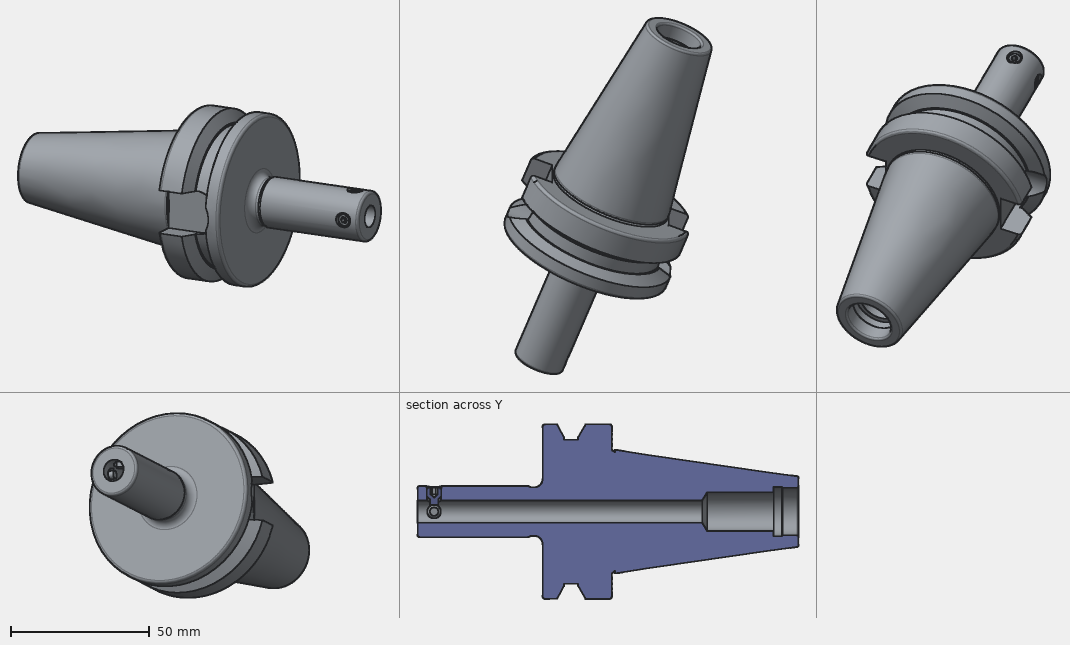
import cadquery as cq
import math

total_length = 137.4

taper_ratio = 7 / 24
taper_end_x = 65.4
taper_end_radius = 22.3
taper_start_radius = taper_end_radius - taper_end_x * taper_ratio / 2
taper_edge_radius = 0.8
undercut_start_x = 66.2
undercut_floor_radius = 21.5

flange_radius = 63.0 / 2
flange_front_x = 67.2
flange_back_x = 92.3
flange_edge_radius = 1.1
groove_mouth_front_x = 76.8
groove_mouth_back_x = 87.0
groove_floor_front_x = 79.5
groove_floor_back_x = 84.5
groove_side_end_radius = 26.8
groove_floor_radius = 26.1

slot_width = 16.1
slot_end_x = 88.2
slot_floor_y = 22.5

neck_radius = 8.8
neck_fillet_end_x = 95.2
neck_fillet_radius = 2.9
neck_end_x = 96.5
shank_radius = 18.5 / 2
shank_start_x = 97.4
shank_edge_radius = 1.0

mouth_radius = 18.5 / 2
counterbore_radius = 8.5
counterbore_depth = 9.0
bore_undercut_radius = 8.8
bore_undercut_start_x = 5.8
draw_bar_bore_radius = 13.9 / 2
draw_bar_bore_depth = 33.0
tool_bore_radius = 4.0
drill_point_half_angle = 59

screw_x = 131.4
screw_radius = 2.5
screw_top = 8.7
screw_top_chamfer = 0.35
screw_tip = 2.3
screw_tip_radius = 1.5
screw_tip_length = 2.0
socket_diameter = 2.5
socket_depth = 2.5
hole_mouth_radius = 2.9
screw_directions = [cq.Vector(0, 0, 1), cq.Vector(0, -1, 0)]


def revolve_about_x(outline):
    """Close a half outline drawn in the XY plane and turn it about the X axis."""
    return outline.close().revolve(360, (0, 0, 0), (1, 0, 0))


def along_screw(shape, direction):
    """Turn a shape from the Z axis to a screw direction and move it to the screw position."""
    if direction.z == 0:
        shape = shape.rotate((0, 0, 0), (1, 0, 0), -90 * direction.y)
    return shape.translate((screw_x, 0, 0))


def make_outer_form():
    edge_end_radius = taper_start_radius + taper_edge_radius * taper_ratio / 2
    return revolve_about_x(
        cq.Workplane("XY")
        .moveTo(0, 0)
        .lineTo(0, edge_end_radius - taper_edge_radius)
        .radiusArc((taper_edge_radius, edge_end_radius), taper_edge_radius)
        .lineTo(taper_end_x, taper_end_radius)
        .lineTo(undercut_start_x, taper_end_radius)
        .lineTo(undercut_start_x, undercut_floor_radius)
        .lineTo(flange_front_x, taper_end_radius)
        .lineTo(flange_front_x, flange_radius - flange_edge_radius)
        .radiusArc((flange_front_x + flange_edge_radius, flange_radius), flange_edge_radius)
        .lineTo(groove_mouth_front_x, flange_radius)
        .lineTo(groove_floor_front_x, groove_side_end_radius)
        .lineTo(groove_floor_front_x, groove_floor_radius)
        .lineTo(groove_floor_back_x, groove_floor_radius)
        .lineTo(groove_floor_back_x, groove_side_end_radius)
        .lineTo(groove_mouth_back_x, flange_radius)
        .lineTo(flange_back_x - flange_edge_radius, flange_radius)
        .radiusArc((flange_back_x, flange_radius - flange_edge_radius), flange_edge_radius)
        .lineTo(flange_back_x, neck_radius + neck_fillet_radius)
        .radiusArc((neck_fillet_end_x, neck_radius), -neck_fillet_radius)
        .lineTo(neck_end_x, neck_radius)
        .lineTo(shank_start_x, shank_radius)
        .lineTo(total_length - shank_edge_radius, shank_radius)
        .radiusArc((total_length, shank_radius - shank_edge_radius), shank_edge_radius)
        .lineTo(total_length, 0)
    )


def make_bore():
    mouth_edge_radius = mouth_radius - counterbore_radius
    undercut_depth = bore_undercut_radius - counterbore_radius
    point_length = (draw_bar_bore_radius - tool_bore_radius) / math.tan(math.radians(drill_point_half_angle))
    return revolve_about_x(
        cq.Workplane("XY")
        .moveTo(0, 0)
        .lineTo(0, mouth_radius)
        .radiusArc((mouth_edge_radius, counterbore_radius), -mouth_edge_radius)
        .lineTo(bore_undercut_start_x, counterbore_radius)
        .lineTo(bore_undercut_start_x + undercut_depth, bore_undercut_radius)
        .lineTo(counterbore_depth, bore_undercut_radius)
        .lineTo(counterbore_depth, draw_bar_bore_radius)
        .lineTo(draw_bar_bore_depth, draw_bar_bore_radius)
        .lineTo(draw_bar_bore_depth + point_length, tool_bore_radius)
        .lineTo(total_length, tool_bore_radius)
        .lineTo(total_length, 0)
    )


def make_drive_slot(side):
    """Round-ended slot, open towards the taper; side is +1 or -1 along Y."""
    round_centre_x = slot_end_x - slot_width / 2
    depth = flange_radius - slot_floor_y
    straight = cq.Workplane("XY").box(
        round_centre_x - flange_front_x, depth, slot_width, centered=(False, False, True)
    ).translate((flange_front_x, slot_floor_y, 0))
    round_end = (
        cq.Workplane("XZ", origin=(round_centre_x, slot_floor_y, 0))
        .circle(slot_width / 2)
        .extrude(-depth)
    )
    slot = straight.union(round_end)
    return slot if side > 0 else slot.mirror("XZ")


def make_screw_hole(direction):
    """Screw hole from the holder's axis outwards, with a countersunk mouth."""
    mouth_start = screw_top - screw_top_chamfer
    outline = (
        cq.Workplane("XZ")
        .lineTo(screw_radius, 0)
        .lineTo(screw_radius, mouth_start)
        .lineTo(hole_mouth_radius, shank_radius)
        .lineTo(0, shank_radius)
        .close()
    )
    return along_screw(outline.revolve(360, (0, 0, 0), (0, 1, 0)), direction)


def make_holder():
    holder = make_outer_form().cut(make_bore())
    for side in (1, -1):
        holder = holder.cut(make_drive_slot(side))
    for direction in screw_directions:
        holder = holder.cut(make_screw_hole(direction))
    return holder


def make_clamping_screw(direction):
    """Set screw with a chamfered head, a cone-bottomed hexagon socket and a dog point."""
    tip_base = screw_tip + screw_tip_length
    taper_height = screw_radius - screw_tip_radius
    socket_floor = screw_top - socket_depth
    socket_cone_radius = socket_diameter / 2 * math.cos(math.pi / 6)
    screw = (
        cq.Workplane("XZ")
        .moveTo(0, screw_tip)
        .lineTo(screw_tip_radius, screw_tip)
        .lineTo(screw_tip_radius, tip_base)
        .lineTo(screw_radius, tip_base + taper_height)
        .lineTo(screw_radius, screw_top - screw_top_chamfer)
        .lineTo(screw_radius - screw_top_chamfer, screw_top)
        .lineTo(0, screw_top)
        .close()
        .revolve(360, (0, 0, 0), (0, 1, 0))
    )
    socket = (
        cq.Workplane("XY", origin=(0, 0, socket_floor))
        .polygon(6, socket_diameter)
        .extrude(socket_depth)
    )
    socket_cone = (
        cq.Workplane("XZ")
        .moveTo(0, socket_floor)
        .lineTo(socket_cone_radius, socket_floor)
        .lineTo(0, socket_floor - socket_cone_radius)
        .close()
        .revolve(360, (0, 0, 0), (0, 1, 0))
    )
    return along_screw(screw.cut(socket).cut(socket_cone), direction)


holder = make_holder()
clamping_screws = [make_clamping_screw(direction) for direction in screw_directions]

result = cq.Compound.makeCompound([holder.val(), *[screw.val() for screw in clamping_screws]])